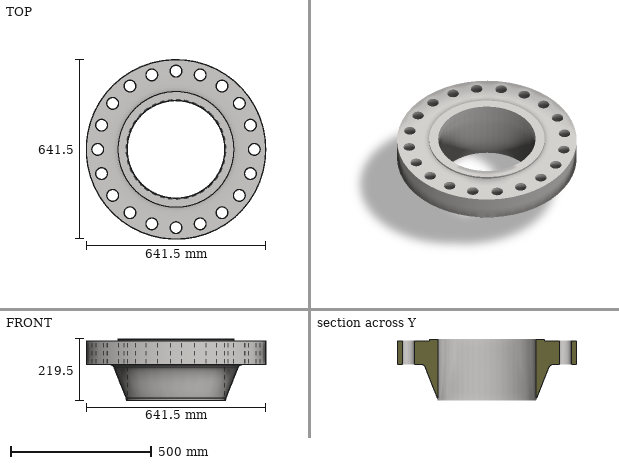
import cadquery as cq

total_height = 219.5
flange_diameter = 641.5
flange_thickness = 84.5
face_diameter = 413.0
face_height = 6.5
bore_diameter = 347.5

bolt_count = 20
bolt_circle_diameter = 558.5
bolt_hole_diameter = 41.0

hub_base_diameter = 451.0
neck_diameter = 356.5
weld_end_diameter = 353.0
bevel_height = 8.0
neck_length = 9.5
root_fillet = 15.5

face_top = total_height
flange_top = face_top - face_height
flange_bottom = flange_top - flange_thickness


def make_body():
    """Revolve the half section of the flange, hub and bore about Z."""
    section = [
        (bore_diameter / 2, 0),
        (weld_end_diameter / 2, 0),
        (neck_diameter / 2, bevel_height),
        (neck_diameter / 2, neck_length),
        (hub_base_diameter / 2, flange_bottom),
        (flange_diameter / 2, flange_bottom),
        (flange_diameter / 2, flange_top),
        (face_diameter / 2, flange_top),
        (face_diameter / 2, face_top),
        (bore_diameter / 2, face_top),
    ]
    return cq.Workplane("XZ").polyline(section).close().revolve(360, (0, 0), (0, 1))


def round_hub_root(body):
    """Blend the cone into the underside of the flange."""
    root_radius = hub_base_diameter / 2
    margin = 0.5
    root_box = cq.selectors.BoxSelector(
        (-root_radius - margin, -root_radius - margin, flange_bottom - margin),
        (root_radius + margin, root_radius + margin, flange_bottom + margin),
        boundingbox=True,
    )
    return body.edges(root_box).fillet(root_fillet)


def make_bolt_holes():
    """Cylinders on the bolt circle, the first one on the +X axis."""
    return (
        cq.Workplane("XY", origin=(0, 0, flange_bottom))
        .polarArray(bolt_circle_diameter / 2, 0, 360, bolt_count)
        .circle(bolt_hole_diameter / 2)
        .extrude(flange_thickness)
    )


result = round_hub_root(make_body()).cut(make_bolt_holes())